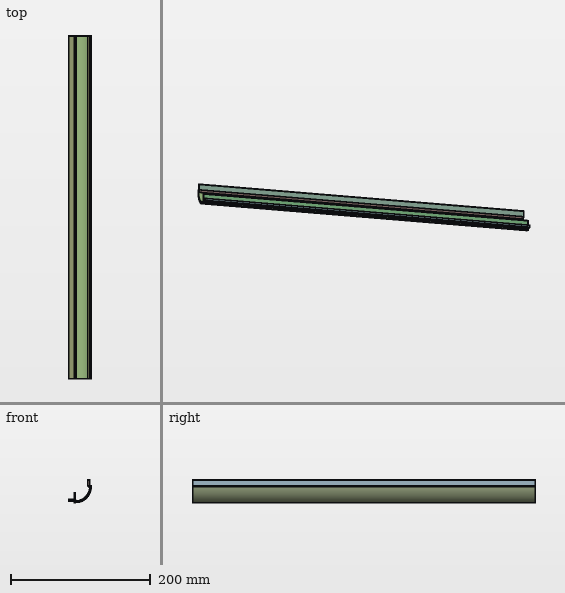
import cadquery as cq
import math

length = 490.0
size = 33.0

flange_outer = 2.5
flange_thickness = 3.0
flange_inner = flange_outer + flange_thickness

lip_start = 8.5
lip_thickness = 1.5
lip_end = lip_start + lip_thickness

web_outer_radius = 22.5
web_thickness = 2.0
web_inner_radius = web_outer_radius - web_thickness
center_x = lip_end
center_z = size - lip_end

step_end = 11.5

wall_top = 14.0


def mirrored(point):
    """Reflect an (x, z) point across the diagonal of symmetry."""
    x, z = point
    return size - z, size - x


def web_middle(radius):
    """Point where a web arc crosses the diagonal direction."""
    offset = radius / math.sqrt(2)
    return center_x + offset, center_z - offset


outer_half = [
    (0, flange_outer),
    (lip_start, flange_outer),
    (lip_start, 0),
    (lip_end, 0),
    (lip_end, center_z - web_outer_radius),
]
step_z = center_z - math.sqrt(web_inner_radius**2 - (step_end - center_x) ** 2)
inner_half = [
    (0, flange_inner),
    (lip_start, flange_inner),
    (step_end, step_z),
]


def make_channel():
    """Curved web with both flanges and lips."""
    outline = cq.Workplane("XZ").polyline(outer_half)
    outline = outline.threePointArc(web_middle(web_outer_radius), mirrored(outer_half[-1]))
    for point in reversed(outer_half[:-1]):
        outline = outline.lineTo(*mirrored(point))
    for point in inner_half:
        outline = outline.lineTo(*mirrored(point))
    outline = outline.threePointArc(web_middle(web_inner_radius), inner_half[-1])
    for point in reversed(inner_half[:-1]):
        outline = outline.lineTo(*point)
    return outline.close().extrude(-length)


def make_wall():
    """Upright wall running the full length."""
    height = wall_top - flange_outer
    return cq.Workplane("XY").box(lip_thickness, length, height, centered=False).translate(
        (lip_start, 0, flange_outer)
    )


result = make_channel().union(make_wall())